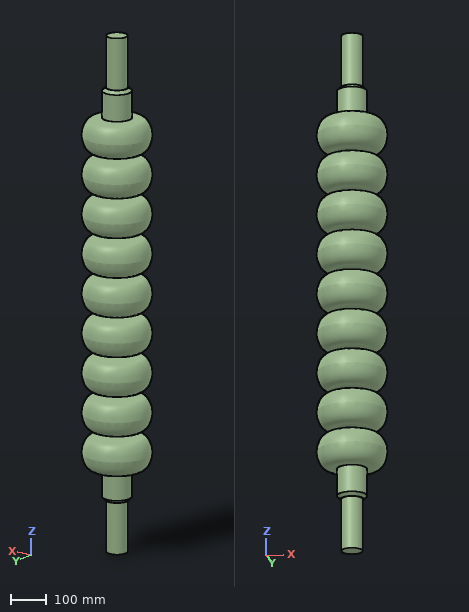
import cadquery as cq

total_length = 1501.8
shed_diameter = 197.78

body_length = 1200.0
rod_radius = 30.0
sleeve_radius = 42.0
sleeve_chamfer = 10.0

shed_count = 9
shed_pitch = 115.4
shed_height = 100.0
shed_flat_radius = 64.5

neck_radius = 30.0
neck_flare_radius = 51.0

shed_radius = shed_diameter / 2
shed_half_height = shed_height / 2
rim_width = shed_radius - shed_flat_radius
flare_width = neck_flare_radius - neck_radius
flare_height = (shed_pitch - shed_height) / 2
rod_length = (total_length - body_length) / 2
last_shed_centre = shed_pitch * (shed_count - 1) / 2
sleeve_length = body_length / 2 - last_shed_centre


def make_shed(centre):
    """Shed with an elliptical rim and a concave elliptical flare on each face."""
    half_pitch = shed_pitch / 2
    profile = (
        cq.Workplane("YZ", origin=(0, 0, centre))
        .moveTo(0, -half_pitch)
        .lineTo(-neck_radius, -half_pitch)
        .ellipseArc(flare_width, flare_height, 0, 90, startAtCurrent=True)
        .lineTo(-shed_flat_radius, -shed_half_height)
        .ellipseArc(rim_width, shed_half_height, 180, 270, startAtCurrent=True, sense=-1)
        .ellipseArc(rim_width, shed_half_height, 90, 180, startAtCurrent=True, sense=-1)
        .lineTo(-neck_flare_radius, shed_half_height)
        .ellipseArc(flare_width, flare_height, 270, 360, startAtCurrent=True)
        .lineTo(0, half_pitch)
        .close()
    )
    return profile.revolve(360, (0, 0, 0), (0, 1, 0))


def make_upper_end():
    """Chamfered sleeve rising from the middle of the last shed, with the bare rod above it."""
    sleeve = (
        cq.Workplane("XY", origin=(0, 0, last_shed_centre))
        .circle(sleeve_radius)
        .extrude(sleeve_length)
        .faces(">Z")
        .chamfer(sleeve_chamfer)
    )
    rod = cq.Workplane("XY", origin=(0, 0, body_length / 2)).circle(rod_radius).extrude(rod_length)
    return sleeve.union(rod)


result = make_shed(-last_shed_centre)
for index in range(1, shed_count):
    result = result.union(make_shed(index * shed_pitch - last_shed_centre))

upper_end = make_upper_end()
result = result.union(upper_end).union(upper_end.mirror("XY"))